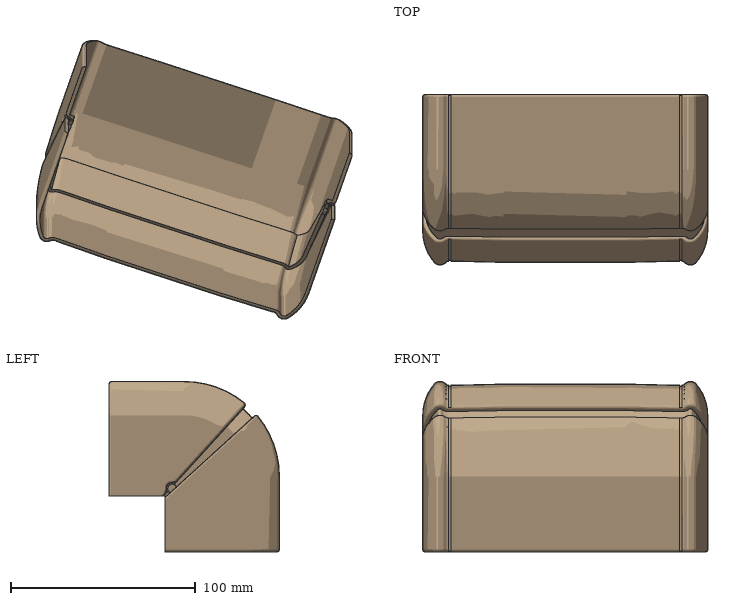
import cadquery as cq
import math

WIDTH = 154.2
DEPTH = 62.0
LEG_LENGTH = 30.2
BEND_CENTRE = 10.5

WALL = 2.0
END_ROUND = 1.5
LOWER_LIP_ROUND = 1.2
UPPER_LIP_ROUND = 1.5

FLANK_RADIUS = 26.2
CREST_X = 9.4
CREST_RADIUS = 4.2
VALLEY_RADIUS = 1.5
PANEL_EDGE_X, PANEL_EDGE_DROP = 17.9, 2.0
CROWN_END_X, CROWN_DROP = 43.8, 1.4

GROOVE_X, GROOVE_WIDTH, GROOVE_DEPTH = 14.6, 1.2, 0.5

GAP_HALF_ANGLE = 2.7
GAP_APEX = -8.5

BISECTOR_ANGLE = 45.0
LOWER_LIP_ANGLE = BISECTOR_ANGLE - GAP_HALF_ANGLE
UPPER_LIP_ANGLE = BISECTOR_ANGLE + GAP_HALF_ANGLE

TONGUE_INSET = 3.0
TONGUE_OVERLAP_ANGLE = 6.0
TONGUE_ROOT_ANGLE = 5.0
TONGUE_INNER = TONGUE_INSET + WALL

PIVOT_DEPTH = 4.0
NOTCH_RADIUS = 3.2
NOTCH_ROUND = 1.2
PLATE_RADIUS = 3.9
BOSS_RADIUS = 2.5

DOWN = cq.Vector(0, 0, -1)
REARWARD = cq.Vector(0, 1, 0)

RUN_OUT = 7.7
BIG = 308.3


def cross_section(plane, back):
    """Outer cross-section of a leg, from depth `back` to the rib crests."""

    def at(x, drop):
        return (x - WIDTH / 2, DEPTH - drop)

    def mirrored(point):
        return (-point[0], point[1])

    def on_circle(centre, radius, direction):
        """Point of a circle in the given direction, measured from +x toward smaller drops."""
        return at(centre[0] + radius * math.cos(direction), centre[1] - radius * math.sin(direction))

    flank_to_crest = math.acos((CREST_X - FLANK_RADIUS) / (FLANK_RADIUS - CREST_RADIUS))
    flank_drop = CREST_RADIUS + (FLANK_RADIUS - CREST_RADIUS) * math.sin(flank_to_crest)
    flank_centre = (FLANK_RADIUS, flank_drop)
    crest_centre = (CREST_X, CREST_RADIUS)
    valley_drop = PANEL_EDGE_DROP - VALLEY_RADIUS
    crest_to_valley = math.asin((CREST_RADIUS - valley_drop) / (CREST_RADIUS + VALLEY_RADIUS))
    valley_x = CREST_X + (CREST_RADIUS + VALLEY_RADIUS) * math.cos(crest_to_valley)
    valley_centre = (valley_x, valley_drop)

    back_corner = (-WIDTH / 2, back)
    flank_start = on_circle(flank_centre, FLANK_RADIUS, math.pi)
    flank_mid = on_circle(flank_centre, FLANK_RADIUS, (math.pi + flank_to_crest) / 2)
    shoulder = on_circle(crest_centre, CREST_RADIUS, flank_to_crest)
    crest = on_circle(crest_centre, CREST_RADIUS, math.pi / 2)
    rib_end = on_circle(crest_centre, CREST_RADIUS, crest_to_valley)
    valley_mid = on_circle(valley_centre, VALLEY_RADIUS, (crest_to_valley + math.pi * 5 / 2) / 2)
    valley_end = on_circle(valley_centre, VALLEY_RADIUS, math.pi * 3 / 2)

    panel_edge = at(PANEL_EDGE_X, PANEL_EDGE_DROP)
    crown_end = at(CROWN_END_X, CROWN_DROP)

    return (
        cq.Workplane(plane)
        .moveTo(*back_corner)
        .lineTo(*flank_start)
        .threePointArc(flank_mid, shoulder)
        .threePointArc(crest, rib_end)
        .threePointArc(valley_mid, valley_end)
        .lineTo(*panel_edge)
        .lineTo(*crown_end)
        .lineTo(*mirrored(crown_end))
        .lineTo(*mirrored(panel_edge))
        .lineTo(*mirrored(valley_end))
        .threePointArc(mirrored(valley_mid), mirrored(rib_end))
        .threePointArc(mirrored(crest), mirrored(shoulder))
        .threePointArc(mirrored(flank_mid), mirrored(flank_start))
        .lineTo(*mirrored(back_corner))
        .close()
    )


def groove_section(plane):
    """Section of the two narrow grooves, from their floors to the crest level."""
    height = PANEL_EDGE_DROP + GROOVE_DEPTH
    groove_x = WIDTH / 2 - GROOVE_X
    middle = DEPTH - height / 2
    return (
        cq.Workplane(plane).pushPoints([(-groove_x, middle), (groove_x, middle)]).rect(GROOVE_WIDTH, height)
    )


def swept_elbow(leg_section, bend_section, leg_length):
    """Run a section down the lower leg, along the upper leg and around the bend between them."""
    lower_plane = cq.Plane((0, 0, BEND_CENTRE), (1, 0, 0), (0, 0, -1))
    upper_plane = cq.Plane((0, -BEND_CENTRE, 0), (-1, 0, 0), (0, 1, 0))
    length = leg_length + BEND_CENTRE
    lower_leg = leg_section(lower_plane).extrude(length)
    upper_leg = leg_section(upper_plane).extrude(length)
    bend = bend_section(upper_plane).revolve(90, (0, BEND_CENTRE, 0), (-1, BEND_CENTRE, 0))
    return lower_leg.union(upper_leg).union(bend)


def solid_elbow():
    """The outer skin of both covers, filled."""
    return swept_elbow(
        lambda plane: cross_section(plane, 0),
        lambda plane: cross_section(plane, BEND_CENTRE),
        LEG_LENGTH,
    )


def inset_elbow(inset):
    """Filled elbow at an inset inside the skin, running out of the back and both ends."""
    return swept_elbow(
        lambda plane: cross_section(plane, -RUN_OUT - inset).offset2D(-inset),
        lambda plane: cross_section(plane, BEND_CENTRE - inset).offset2D(-inset),
        LEG_LENGTH + RUN_OUT,
    )


def half_space(angle, upper):
    """Everything above (or below) the plane through the gap apex, at `angle` from the -Y direction."""
    rise = BIG / 2 if upper else -BIG / 2
    return (
        cq.Workplane()
        .box(BIG, BIG, BIG)
        .translate((0, 0, rise))
        .rotate((0, 0, 0), (1, 0, 0), -angle)
        .translate((0, -GAP_APEX, GAP_APEX))
    )


def between(lower_angle, upper_angle):
    """The wedge between two planes through the gap apex."""
    return half_space(lower_angle, True).intersect(half_space(upper_angle, False))


def lip_normal(angle):
    """Upward normal of the plane at `angle` through the gap apex."""
    return cq.Vector(0, math.sin(math.radians(angle)), math.cos(math.radians(angle)))


def rounded_rim(blank, face_direction, back_direction, radius):
    """Round the outer edges of the flat face at the far end of a direction; its back edge stays sharp."""
    rim = blank.faces(cq.selectors.DirectionMinMaxSelector(face_direction))
    back_edge = cq.selectors.DirectionMinMaxSelector(back_direction)
    return rim.edges(cq.selectors.InverseSelector(back_edge)).fillet(radius)


def pivot_discs(radius, outer_inset, inner_inset):
    """A disc on the pivot axis at each side, between two insets from the sides."""

    def cylinder(inset):
        half_length = WIDTH / 2 - inset
        centre = cq.Workplane("YZ", origin=(0, -PIVOT_DEPTH, PIVOT_DEPTH))
        return centre.circle(radius).extrude(half_length, both=True)

    return cylinder(outer_inset).cut(cylinder(inner_inset))


def lower_cover(skin, cavity, grooves):
    """Lower leg: a shell with rounded rims, open at the back, the end and the gap."""
    blank = skin.intersect(half_space(LOWER_LIP_ANGLE, False))
    blank = rounded_rim(blank, lip_normal(LOWER_LIP_ANGLE), REARWARD, LOWER_LIP_ROUND)
    blank = rounded_rim(blank, DOWN, REARWARD, END_ROUND)
    return blank.cut(cavity).cut(grooves)


def upper_shell(skin, cavity, grooves):
    """Upper leg: a matching shell with a round-edged notch at each pivot."""
    blank = skin.intersect(half_space(UPPER_LIP_ANGLE, True))
    blank = rounded_rim(blank, -lip_normal(UPPER_LIP_ANGLE), DOWN, UPPER_LIP_ROUND)
    blank = rounded_rim(blank, REARWARD, DOWN, END_ROUND)
    notch = pivot_discs(NOTCH_RADIUS, -RUN_OUT, WALL)
    return blank.cut(cavity).cut(grooves).cut(notch).cut(notch_flare())


def notch_flare():
    """Ring at each side that rounds the rim of the notch."""
    rim_radius = NOTCH_RADIUS + NOTCH_ROUND
    half = WIDTH / 2
    slant = NOTCH_ROUND * (1 - math.sqrt(0.5))
    profile_plane = cq.Plane((0, -PIVOT_DEPTH, PIVOT_DEPTH), (1, 0, 0), (0, -1, 0))
    flare = (
        cq.Workplane(profile_plane)
        .moveTo(half, 0)
        .lineTo(half, rim_radius)
        .threePointArc((half - slant, NOTCH_RADIUS + slant), (half - NOTCH_ROUND, NOTCH_RADIUS))
        .lineTo(half - NOTCH_ROUND, 0)
        .close()
        .revolve(360, (0, 0, 0), (1, 0, 0))
    )
    return flare.union(flare.mirror("YZ"))


def tongue(skin, cavity):
    """Inset band fixed inside the upper shell, closing the gap and reaching into the lower cover."""
    core = inset_elbow(TONGUE_INNER)
    root_angle = UPPER_LIP_ANGLE + TONGUE_ROOT_ANGLE
    tip_angle = LOWER_LIP_ANGLE - TONGUE_OVERLAP_ANGLE
    outer = inset_elbow(TONGUE_INSET)
    band = skin.intersect(between(tip_angle, root_angle)).intersect(outer).cut(core)
    root = skin.intersect(between(UPPER_LIP_ANGLE, root_angle)).intersect(cavity).cut(core)
    root = root.cut(pivot_discs(NOTCH_RADIUS, WALL, TONGUE_INSET))
    plates = pivot_discs(PLATE_RADIUS, TONGUE_INSET, TONGUE_INNER)
    bosses = pivot_discs(BOSS_RADIUS, WALL, TONGUE_INSET)
    return root.union(band).union(plates).union(bosses)


skin = solid_elbow()
cavity = inset_elbow(WALL)
grooves = swept_elbow(groove_section, groove_section, LEG_LENGTH)
lower = lower_cover(skin, cavity, grooves)
upper = upper_shell(skin, cavity, grooves).union(tongue(skin, cavity))

result = cq.Compound.makeCompound([lower.val(), upper.val()])